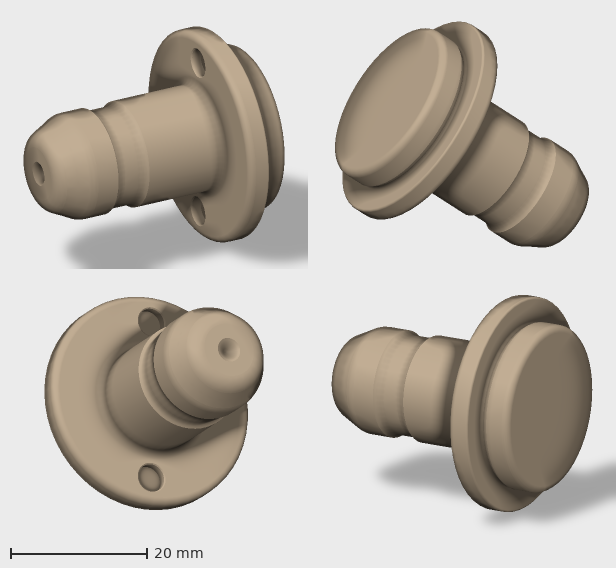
import cadquery as cq
import math

total_length = 34.8
flange_radius = 16.0
flange_back = 4.8
flange_front = 8.1
flange_back_round = 0.3
plug_radius = 12.5
plug_round = 1.0
plug_taper_start = 3.65
neck_radius = 12.1
neck_start = 4.4
neck_fillet = 0.3
edge_round = 1.0
shaft_fillet = 1.08

shaft_radius = 8.0
groove_radius = 7.4
groove_start = 20.55
groove_end = 25.75
groove_arc = 2.0

nose_angle = math.radians(26)
nose_flat_radius = 4.0
nose_round = 2.5
shoulder_round = 3.0

centre_radius = 1.8
centre_depth = 1.45

pin_offset = 12.0
pin_radius = 2.1
pin_mouth_radius = 2.25
pin_depth = 1.6


def arc_point(centre, radius, angle):
    """Point (radial, axial) on an arc; angle 0 points outwards, 90 degrees to the nose."""
    return (centre[0] + radius * math.cos(angle), centre[1] + radius * math.sin(angle))


def add_arc(profile, centre, radius, start, end):
    """Draw a line to the start of an arc, then the arc itself."""
    return profile.lineTo(*arc_point(centre, radius, start)).threePointArc(
        arc_point(centre, radius, (start + end) / 2), arc_point(centre, radius, end)
    )


def make_body():
    """Revolved plug, flange, grooved shaft and tapered nose."""
    right_angle = math.pi / 2
    plug_arc_centre = plug_radius - plug_round
    groove_sweep = math.acos(1 - (shaft_radius - groove_radius) / groove_arc)
    groove_run = groove_arc * math.sin(groove_sweep)
    groove_arc_centre = groove_radius + groove_arc
    nose_centre = (nose_flat_radius, total_length - nose_round)
    cone_small = arc_point(nose_centre, nose_round, nose_angle)
    shoulder_arc_centre = shaft_radius - shoulder_round
    cone_large_radius = shoulder_arc_centre + shoulder_round * math.cos(nose_angle)
    cone_start = cone_small[1] - (cone_large_radius - cone_small[0]) / math.tan(nose_angle)
    shoulder_start = cone_start - shoulder_round * math.sin(nose_angle)

    profile = cq.Workplane("XY").moveTo(0, 0)
    profile = add_arc(profile, (plug_arc_centre, plug_round), plug_round, -right_angle, 0)
    profile = profile.lineTo(plug_radius, plug_taper_start).lineTo(neck_radius, neck_start)
    profile = add_arc(
        profile,
        (neck_radius + neck_fillet, flange_back - neck_fillet),
        neck_fillet, math.pi, right_angle,
    )
    profile = add_arc(
        profile,
        (flange_radius - flange_back_round, flange_back + flange_back_round),
        flange_back_round, -right_angle, 0,
    )
    profile = add_arc(
        profile, (flange_radius - edge_round, flange_front - edge_round), edge_round, 0, right_angle
    )
    profile = add_arc(
        profile,
        (shaft_radius + shaft_fillet, flange_front + shaft_fillet),
        shaft_fillet, -right_angle, -math.pi,
    )
    profile = add_arc(
        profile,
        (groove_arc_centre, groove_start + groove_run),
        groove_arc, math.pi + groove_sweep, math.pi,
    )
    profile = add_arc(
        profile,
        (groove_arc_centre, groove_end - groove_run),
        groove_arc, math.pi, math.pi - groove_sweep,
    )
    profile = add_arc(
        profile, (shoulder_arc_centre, shoulder_start), shoulder_round, 0, nose_angle
    )
    profile = add_arc(profile, nose_centre, nose_round, nose_angle, right_angle)
    profile = profile.lineTo(0, total_length).close()
    return profile.revolve(360, (0, 0, 0), (0, 1, 0))


def make_centre_hole():
    """Conical centre in the nose face."""
    return (
        cq.Workplane("XY")
        .moveTo(0, total_length - centre_depth)
        .lineTo(centre_radius, total_length)
        .lineTo(0, total_length)
        .close()
        .revolve(360, (0, 0, 0), (0, 1, 0))
    )


def make_pin_hole():
    """Blind hole with a chamfered mouth, centred on the body axis."""
    chamfer = pin_mouth_radius - pin_radius
    return (
        cq.Workplane("XY")
        .moveTo(0, flange_front - pin_depth)
        .lineTo(pin_radius, flange_front - pin_depth)
        .lineTo(pin_radius, flange_front - chamfer)
        .lineTo(pin_mouth_radius, flange_front)
        .lineTo(0, flange_front)
        .close()
        .revolve(360, (0, 0, 0), (0, 1, 0))
    )


part = make_body().cut(make_centre_hole())
for side in (-1, 1):
    part = part.cut(make_pin_hole().translate((0, 0, side * pin_offset)))

result = part.rotate((0, 0, 0), (0, 0, 1), 180)